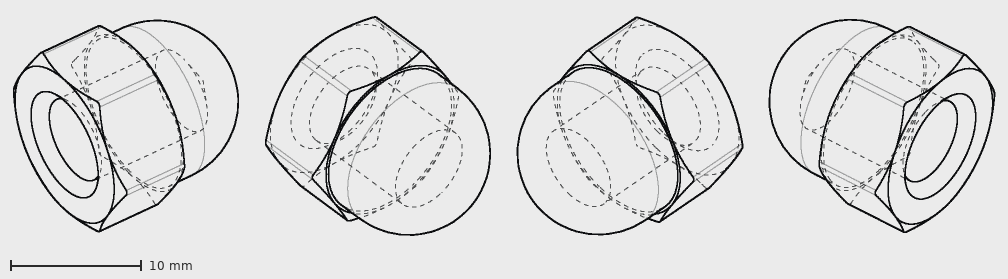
import cadquery as cq
import math

total_length = 14.95
across_flats = 13
hex_length = 6.5
corner_radius = 0.51
chamfer_angle = 30

cap_diameter = 12.5
cap_radius = cap_diameter / 2
dome_start = total_length - cap_radius

hole_diameter = 6.8
hole_depth = 11.0
drill_point_angle = 118
countersink_diameter = 8.8
countersink_angle = 90


def revolve_about_y(profile):
    """Turn a closed (radius, y) profile about the nut axis."""
    return profile.close().revolve(360, (0, 0, 0), (0, 1, 0))


def hex_body():
    """Hexagon with corners on X, rounded edges and both ends chamfered to the flats."""
    corner_distance = across_flats / math.sqrt(3)
    flat_radius = across_flats / 2
    prism = (
        cq.Workplane("XZ")
        .polygon(6, 2 * corner_distance)
        .extrude(-hex_length)
        .edges("|Y")
        .fillet(corner_radius)
    )
    chamfer_length = (corner_distance - flat_radius) * math.tan(math.radians(chamfer_angle))
    envelope = revolve_about_y(
        cq.Workplane("XY")
        .moveTo(0, 0)
        .lineTo(flat_radius, 0)
        .lineTo(corner_distance, chamfer_length)
        .lineTo(corner_distance, hex_length - chamfer_length)
        .lineTo(flat_radius, hex_length)
        .lineTo(0, hex_length)
    )
    return prism.intersect(envelope)


def domed_cap():
    """Cylinder running through the hexagon and ending in a hemisphere."""
    arc_offset = cap_radius * math.sin(math.radians(45))
    return revolve_about_y(
        cq.Workplane("XY")
        .moveTo(0, 0)
        .lineTo(cap_radius, 0)
        .lineTo(cap_radius, dome_start)
        .threePointArc((arc_offset, dome_start + arc_offset), (0, total_length))
    )


def blind_hole():
    """Countersink, straight bore and conical drill point as one cutter."""
    hole_radius = hole_diameter / 2
    mouth_radius = countersink_diameter / 2
    countersink_depth = (mouth_radius - hole_radius) / math.tan(math.radians(countersink_angle / 2))
    point_length = hole_radius / math.tan(math.radians(drill_point_angle / 2))
    return revolve_about_y(
        cq.Workplane("XY")
        .moveTo(0, 0)
        .lineTo(mouth_radius, 0)
        .lineTo(hole_radius, countersink_depth)
        .lineTo(hole_radius, hole_depth)
        .lineTo(0, hole_depth + point_length)
    )


result = hex_body().union(domed_cap()).cut(blind_hole())